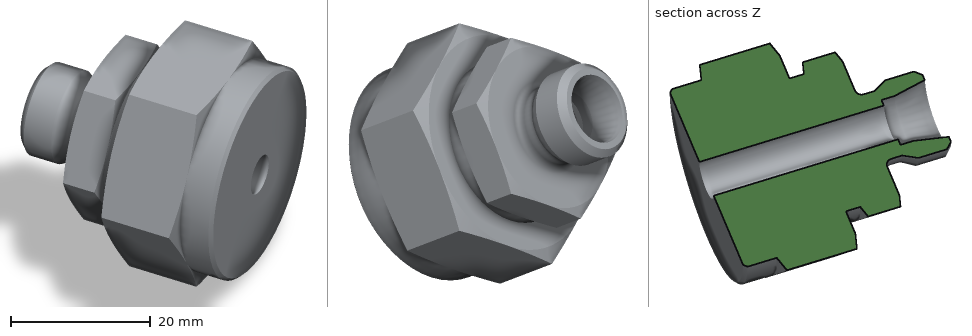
import cadquery as cq
import math


spigot_land_end = 5.35
small_hex_start = 10.0
small_hex_end = 16.0
large_hex_start = 18.15
large_hex_end = 30.2
overall_length = 35.15

large_hex_flats = 32.0
small_hex_flats = 24.05
hex_chamfer_angle = 15.0

spigot_radius = 7.02
spigot_chamfer = 1.0
neck_radius = 5.85
neck_taper_angle = 30.0
neck_fillet = 1.0

collar_radius = 11.97
rim_radius = large_hex_flats / 2
rim_chamfer = 0.5

cone_mouth_radius = 5.05
socket_radius = 4.0
cone_half_angle = 12.0
socket_depth = 7.0
bore_radius = 3.0


def tangent(degrees):
    return math.tan(math.radians(degrees))


def revolve_about_x(profile):
    """Turn a closed (x, radius) profile in the XY plane about the X axis."""
    return profile.close().revolve(360, (0, 0, 0), (1, 0, 0))


def cylinder(start, end, radius):
    return cq.Workplane("YZ", origin=(start, 0, 0)).circle(radius).extrude(end - start)


def chamfered_hex(start, end, flats):
    """Hexagonal prism with conical chamfers that just reach the middle of each flat."""
    flat_radius = flats / 2
    corner_diameter = flats / math.cos(math.pi / 6)
    corner_radius = corner_diameter / 2
    chamfer_length = (corner_radius - flat_radius) * tangent(hex_chamfer_angle)
    outer_length = 2 * chamfer_length
    outer_radius = flat_radius + outer_length / tangent(hex_chamfer_angle)

    prism = cq.Workplane("YZ", origin=(start, 0, 0)).polygon(6, corner_diameter).extrude(end - start)
    envelope = revolve_about_x(
        cq.Workplane("XY")
        .moveTo(start, 0)
        .lineTo(start, flat_radius)
        .lineTo(start + outer_length, outer_radius)
        .lineTo(end - outer_length, outer_radius)
        .lineTo(end, flat_radius)
        .lineTo(end, 0)
    )
    return prism.intersect(envelope)


def spigot():
    """Chamfered spigot with a tapered undercut that flares into the small hexagon."""
    neck_start = spigot_land_end + (spigot_radius - neck_radius) / tangent(neck_taper_angle)
    return revolve_about_x(
        cq.Workplane("XY")
        .moveTo(0, 0)
        .lineTo(0, spigot_radius - spigot_chamfer)
        .lineTo(spigot_chamfer, spigot_radius)
        .lineTo(spigot_land_end, spigot_radius)
        .lineTo(neck_start, neck_radius)
        .lineTo(small_hex_start - neck_fillet, neck_radius)
        .radiusArc((small_hex_start, neck_radius + neck_fillet), -neck_fillet)
        .lineTo(small_hex_start, 0)
    )


def rim():
    return cylinder(large_hex_end, overall_length, rim_radius).faces(">X").chamfer(rim_chamfer)


def tube_socket():
    """Sealing cone at the mouth, then a straight socket down to the tube stop."""
    cone_depth = (cone_mouth_radius - socket_radius) / tangent(cone_half_angle)
    return revolve_about_x(
        cq.Workplane("XY")
        .moveTo(0, 0)
        .lineTo(0, cone_mouth_radius)
        .lineTo(cone_depth, socket_radius)
        .lineTo(socket_depth, socket_radius)
        .lineTo(socket_depth, 0)
    )


result = (
    spigot()
    .union(chamfered_hex(small_hex_start, small_hex_end, small_hex_flats))
    .union(cylinder(small_hex_end, large_hex_start, collar_radius))
    .union(chamfered_hex(large_hex_start, large_hex_end, large_hex_flats))
    .union(rim())
    .cut(tube_socket())
    .cut(cylinder(0, overall_length, bore_radius))
)